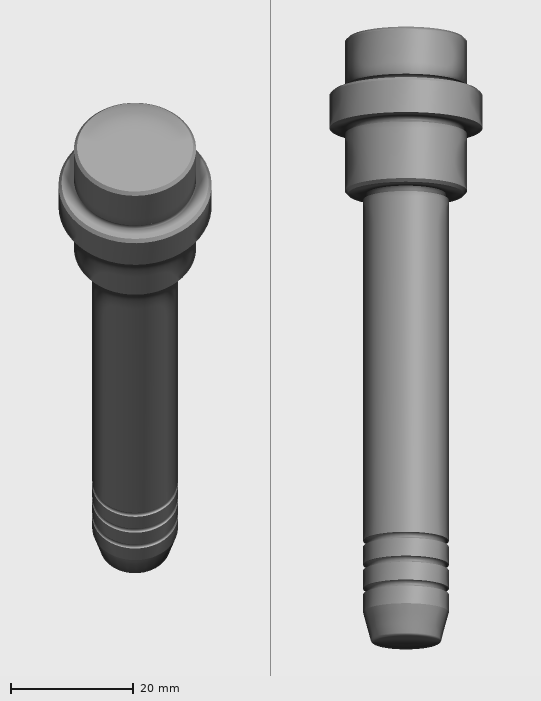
import cadquery as cq
import math

total_length = 101.0
head_diameter = 20.0
flange_diameter = 25.0
shaft_diameter = 14.0

head_length = 9.0
flange_thickness = 6.0
collar_length = 11.0

groove_width = 1.0
groove_depth = 0.5
ring_groove_count = 3
ring_groove_pitch = 4 * groove_width
lowest_groove_bottom = 8 * groove_width
groove_floor_radius = 0.48

tip_length = 5.0
tip_angle = 15.0
tip_radius = 0.5
edge_chamfer = 0.5

flange_top = total_length - head_length
flange_bottom = flange_top - flange_thickness
collar_bottom = flange_bottom - collar_length
tip_end_diameter = shaft_diameter - 2 * tip_length * math.tan(math.radians(tip_angle))


def cylinder(diameter, bottom, top):
    """Solid cylinder on the Z axis between two levels."""
    return cq.Workplane("XY").workplane(offset=bottom).circle(diameter / 2).extrude(top - bottom)


def cut_groove(body, diameter, bottom, floor_radius=0):
    """Cut a groove around a cylinder, rounding its two floor corners if a radius is given."""
    top = bottom + groove_width
    core = cylinder(diameter - 2 * groove_depth, bottom, top)
    ring = cylinder(diameter, bottom, top).cut(core)
    if floor_radius:
        floor_corners = cq.selectors.RadiusNthSelector(0)
        ring = ring.edges("%CIRCLE").edges(floor_corners).fillet(floor_radius)
    return body.cut(ring)


def make_shaft():
    """Shaft with a tapered, rounded tip, rounded ring grooves and a square relief under the collar."""
    tip = (
        cq.Workplane("XY")
        .circle(tip_end_diameter / 2)
        .workplane(offset=tip_length)
        .circle(shaft_diameter / 2)
        .loft(ruled=True)
        .faces("<Z")
        .edges()
        .fillet(tip_radius)
    )
    shaft = tip.union(cylinder(shaft_diameter, tip_length, collar_bottom))
    for index in range(ring_groove_count):
        groove_bottom = lowest_groove_bottom + index * ring_groove_pitch
        shaft = cut_groove(shaft, shaft_diameter, groove_bottom, groove_floor_radius)
    return cut_groove(shaft, shaft_diameter, collar_bottom - groove_width)


def make_head():
    """Head and collar with chamfered ends and a round relief on each side of the flange."""
    head = cylinder(head_diameter, collar_bottom, total_length)
    head = head.faces("<Z or >Z").edges().chamfer(edge_chamfer)
    for groove_bottom in (flange_top, flange_bottom - groove_width):
        head = cut_groove(head, head_diameter, groove_bottom, groove_floor_radius)
    return head


def make_flange():
    """Flange with a chamfered upper edge."""
    flange = cylinder(flange_diameter, flange_bottom, flange_top)
    return flange.faces(">Z").edges().chamfer(edge_chamfer)


result = make_shaft().union(make_head()).union(make_flange())